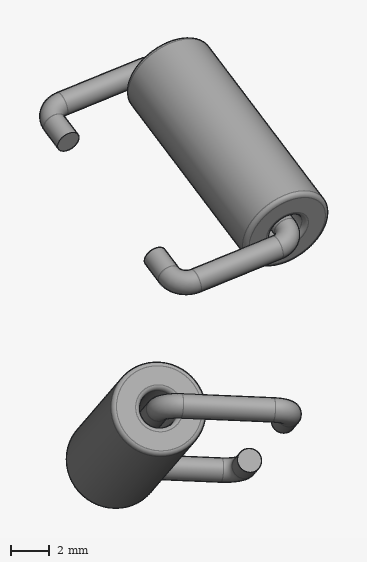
import cadquery as cq

core_length = 12.71
core_diameter = 5.0
bore_diameter = 2.0
rim_fillet = 0.25

wire_span = 15.5
wire_diameter = 1.27
bend_radius = 1.0
overall_depth = 10.0
tip_gap = 9.22

leg_x = (wire_span - wire_diameter) / 2
foot_y = core_diameter / 2 + wire_diameter / 2 - overall_depth
tip_x = tip_gap / 2


def make_core():
    """Tube along X with all four end rims rounded."""
    tube = (
        cq.Workplane("YZ", origin=(-core_length / 2, 0, 0))
        .circle(core_diameter / 2)
        .circle(bore_diameter / 2)
        .extrude(core_length)
    )
    return tube.faces("<X or >X").edges().fillet(rim_fillet)


def make_wire():
    """Round wire swept from one tip, through the bore, to the other tip."""
    path = (
        cq.Workplane("XY")
        .moveTo(-tip_x, foot_y)
        .lineTo(-leg_x + bend_radius, foot_y)
        .tangentArcPoint((-leg_x, foot_y + bend_radius), relative=False)
        .lineTo(-leg_x, -bend_radius)
        .tangentArcPoint((-leg_x + bend_radius, 0), relative=False)
        .lineTo(leg_x - bend_radius, 0)
        .tangentArcPoint((leg_x, -bend_radius), relative=False)
        .lineTo(leg_x, foot_y + bend_radius)
        .tangentArcPoint((leg_x - bend_radius, foot_y), relative=False)
        .lineTo(tip_x, foot_y)
    )
    tip_profile = cq.Workplane("YZ", origin=(-tip_x, foot_y, 0)).circle(wire_diameter / 2)
    return tip_profile.sweep(path)


core = make_core()
wire = make_wire()

result = cq.Compound.makeCompound([core.val(), wire.val()])